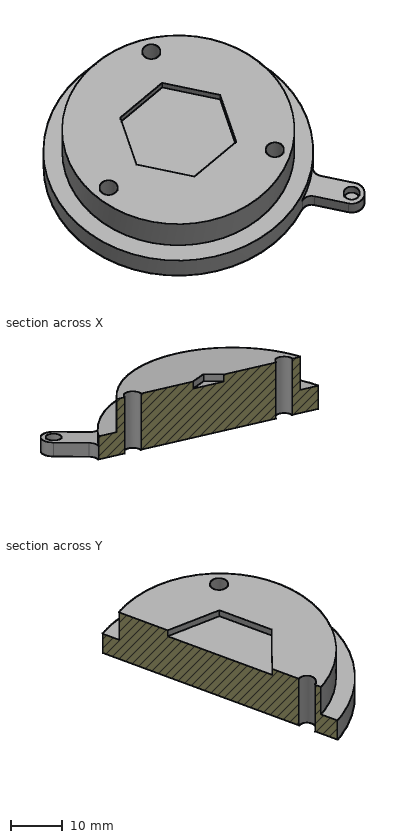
import cadquery as cq
import math

flange_diameter = 52.0
flange_height = 5.0
boss_diameter = 44.8
total_height = 12.0

hex_across_flats = 19.95
hex_across_corners = hex_across_flats / math.cos(math.pi / 6)
hex_depth = 1.5

hole_count = 3
hole_diameter = 3.5
hole_circle_radius = 19.2
first_hole_angle = 60

overall_length = 58.4
arm_angle = 60
arm_width = 5.0
arm_height = 3.0
arm_root_fillet = 2.0
arm_hole_diameter = 3.1
arm_hole_depth = 2.0
arm_tip_y = overall_length - flange_diameter / 2 - arm_width / 2
arm_reach = arm_tip_y / math.sin(math.radians(arm_angle))


def cylinder(diameter, height):
    return cq.Workplane("XY").circle(diameter / 2).extrude(height)


def make_arm_layer():
    """Lower layer of the flange joined to the arm, with filleted arm roots."""
    bar = (
        cq.Workplane("XY")
        .center(arm_reach / 2, 0)
        .rect(arm_reach, arm_width)
        .extrude(arm_height)
    )
    tip = cylinder(arm_width, arm_height).translate((arm_reach, 0, 0))
    layer = cylinder(flange_diameter, arm_height).union(bar).union(tip)

    root_x = math.sqrt((flange_diameter / 2) ** 2 - (arm_width / 2) ** 2)
    for side in (-1, 1):
        root = (root_x, side * arm_width / 2, arm_height / 2)
        layer = layer.edges(cq.selectors.NearestToPointSelector(root)).fillet(arm_root_fillet)

    arm_hole = cylinder(arm_hole_diameter, arm_hole_depth).translate(
        (arm_reach, 0, arm_height - arm_hole_depth)
    )
    return layer.cut(arm_hole).rotate((0, 0, 0), (0, 0, 1), arm_angle)


flange = cylinder(flange_diameter, flange_height)
boss = cylinder(boss_diameter, total_height)
body = make_arm_layer().union(flange).union(boss)

hex_pocket = (
    cq.Workplane("XY")
    .workplane(offset=total_height - hex_depth)
    .polygon(6, hex_across_corners)
    .extrude(hex_depth)
)

through_holes = (
    cq.Workplane("XY")
    .polarArray(hole_circle_radius, first_hole_angle, 360, hole_count)
    .circle(hole_diameter / 2)
    .extrude(total_height)
)

result = body.cut(hex_pocket).cut(through_holes)